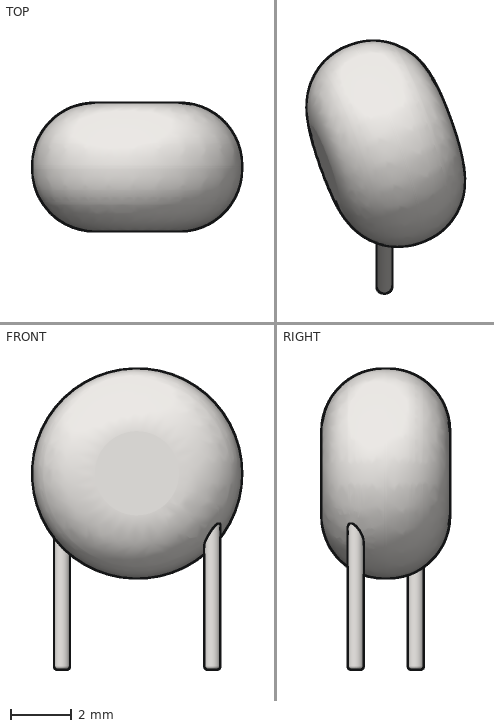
import cadquery as cq

body_diameter = 7.0
body_thickness = 4.3
rim_band_width = 0.1
edge_radius = (body_thickness - rim_band_width) / 2

lead_diameter = 0.54
lead_pitch_x = 5.0
lead_pitch_y = 2.0
lead_tip_fillet = 0.12
overall_height = 10.03
lead_bottom_z = body_diameter / 2 - overall_height
lead_top_z = 0.0


def make_body():
    """Thick disc with both rims fully rounded down to small flat faces."""
    disc = cq.Workplane("XZ").circle(body_diameter / 2).extrude(body_thickness / 2, both=True)
    return disc.faces("<Y or >Y").edges().fillet(edge_radius)


def make_lead(x, y):
    """Round wire with a rounded lower tip, running up into the body."""
    wire = (
        cq.Workplane("XY", origin=(x, y, lead_bottom_z))
        .circle(lead_diameter / 2)
        .extrude(lead_top_z - lead_bottom_z)
    )
    return wire.faces("<Z").edges().fillet(lead_tip_fillet)


result = make_body()

for side in (-1, 1):
    result = result.union(make_lead(side * lead_pitch_x / 2, -side * lead_pitch_y / 2))